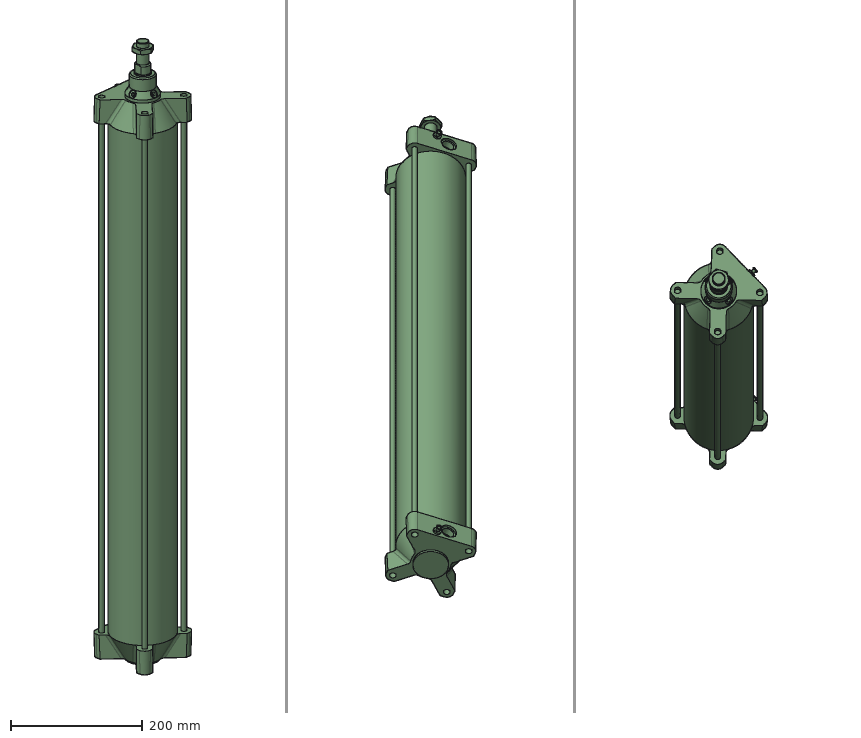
import cadquery as cq
import math


TOTAL_LENGTH = 1033.0
OVERALL_WIDTH_X = 122.0

PILOT_RADIUS = 55.0 / 2
REAR_PILOT_HEIGHT = 4.0
CAP_HEIGHT = 40.0
FRONT_CAP_FACE = 941.0
CAP_WIDTH = 113.0
CAP_DRAFT_DEGREES = 1.5
TIE_ROD_OFFSET = 44.0
CAP_CORNER_RADIUS = CAP_WIDTH / 2 - TIE_ROD_OFFSET

ARM_HALF_WIDTH = 12.0
POCKET_FLOOR_TOP_RADIUS = 31.0
POCKET_FILLET = 6.0
POCKET_ANGLES = (0, 90, 270)

BARREL_RADIUS = 106.0 / 2
TIE_ROD_RADIUS = 8.9 / 2
CORNER_HOLE_RADIUS = 10.0 / 2
CORNER_HOLE_DEPTH = 15.0

PORT_Y = -7.0
PORT_FROM_CAP_FACE = 19.0
PORT_RECESS_RADIUS = 25.0 / 2
PORT_RECESS_DEPTH = 4.0
PORT_RADIUS = 19.0 / 2
PORT_DEPTH = 15.0
SCREW_Y = 12.0
SCREW_FROM_CAP_FACE = 9.0
SCREW_BASE_RADIUS = 12.0 / 2
SCREW_BASE_REACH = 2.0
SCREW_ROOT_DEPTH = 4.0
SCREW_NECK_RADIUS = 6.0 / 2
SCREW_HEAD_RADIUS = 8.9 / 2
SCREW_HEAD_THICKNESS = 1.5

PILOT_TOP = 946.0
CONE_TOP = 958.0
COLLAR_RADIUS = 41.0 / 2
COLLAR_TOP = 979.0
COLLAR_CHAMFER = 2.0
SEAL_LIP_RADIUS = 27.0 / 2
SEAL_LIP_TOP = 981.0
SPANNER_HOLE_RADIUS = 12.0 / 2
SPANNER_HOLE_DEPTH = 2.0
SPANNER_BORE_RADIUS = 6.0 / 2
SPANNER_BORE_DEPTH = 6.0
SPANNER_HOLE_ANGLES = (0, 90, 180, 270)

ROD_RADIUS = 25.0 / 2
ROD_SHOULDER = 997.0
ROD_CHAMFER = 2.0
FLATS_WIDTH = 22.0
FLATS_BOTTOM = SEAL_LIP_TOP
THREAD_RADIUS = 20.0 / 2
THREAD_CHAMFER = 1.0
NUT_ACROSS_FLATS = 30.0
NUT_BOTTOM = 1016.0
NUT_HEIGHT = 8.0

FRONT_CAP_INNER = FRONT_CAP_FACE - CAP_HEIGHT
REAR_CAP_INNER = REAR_PILOT_HEIGHT + CAP_HEIGHT


def cylinder(radius, bottom, top):
    """Cylinder on the Z axis between two levels."""
    return cq.Workplane("XY").workplane(offset=bottom).circle(radius).extrude(top - bottom)


def cylinder_from_side(radius, y, z, outer_x, inner_x):
    """Cylinder along +X from outer_x to inner_x."""
    plane = cq.Plane(origin=(outer_x, y, z), xDir=(0, 1, 0), normal=(1, 0, 0))
    return cq.Workplane(plane).circle(radius).extrude(inner_x - outer_x)


def corner_points():
    """Centers of the four tie rods."""
    return [(sx * TIE_ROD_OFFSET, sy * TIE_ROD_OFFSET) for sx in (-1, 1) for sy in (-1, 1)]


def pocket():
    """Wedge between two arms on the +X side, with a conical floor that widens towards z = 0."""
    apex = ARM_HALF_WIDTH * math.sqrt(2)
    far = CAP_WIDTH
    wedge = (
        cq.Workplane("XY")
        .polyline([(apex, 0), (far, far - apex), (far, apex - far)])
        .close()
        .extrude(CAP_HEIGHT)
    )
    cone = cq.Workplane("XY").add(
        cq.Solid.makeCone(BARREL_RADIUS, POCKET_FLOOR_TOP_RADIUS, CAP_HEIGHT)
    )
    wedge = wedge.cut(cone)
    return wedge.faces("%CONE").edges("not %CIRCLE").fillet(POCKET_FILLET)


def make_cap():
    """Drafted end cap with its inner face at z = 0 and its outer face at z = CAP_HEIGHT."""
    outline = cq.Sketch().rect(CAP_WIDTH, CAP_WIDTH).vertices().fillet(CAP_CORNER_RADIUS)
    cap = cq.Workplane("XY").placeSketch(outline).extrude(CAP_HEIGHT, taper=CAP_DRAFT_DEGREES)
    cutter = pocket()
    for angle in POCKET_ANGLES:
        cap = cap.cut(cutter.rotate((0, 0, 0), (0, 0, 1), angle))
    holes = (
        cq.Workplane("XY")
        .workplane(offset=CAP_HEIGHT - CORNER_HOLE_DEPTH)
        .pushPoints(corner_points())
        .circle(CORNER_HOLE_RADIUS)
        .extrude(CORNER_HOLE_DEPTH)
    )
    return cap.cut(holes)


def fit_side(body, port_z, screw_z):
    """Return the body with an air port and a cushion screw on the -X face of a cap."""
    face = -CAP_WIDTH / 2
    tip = CAP_WIDTH / 2 - OVERALL_WIDTH_X
    root = face + SCREW_ROOT_DEPTH
    recess = cylinder_from_side(PORT_RECESS_RADIUS, PORT_Y, port_z, face, face + PORT_RECESS_DEPTH)
    port = cylinder_from_side(PORT_RADIUS, PORT_Y, port_z, face, face + PORT_DEPTH)
    base = cylinder_from_side(SCREW_BASE_RADIUS, SCREW_Y, screw_z, face - SCREW_BASE_REACH, root)
    neck = cylinder_from_side(SCREW_NECK_RADIUS, SCREW_Y, screw_z, tip, root)
    head = cylinder_from_side(SCREW_HEAD_RADIUS, SCREW_Y, screw_z, tip, tip + SCREW_HEAD_THICKNESS)
    return body.union(base).union(neck).union(head).cut(recess).cut(port)


def rod_bearing():
    """Turned bearing on the front cap, with four stepped spanner holes square to its cone."""
    bearing = (
        cq.Workplane("XZ")
        .moveTo(0, FRONT_CAP_FACE)
        .lineTo(PILOT_RADIUS, FRONT_CAP_FACE)
        .lineTo(PILOT_RADIUS, PILOT_TOP)
        .lineTo(COLLAR_RADIUS, CONE_TOP)
        .lineTo(COLLAR_RADIUS, COLLAR_TOP - COLLAR_CHAMFER)
        .lineTo(COLLAR_RADIUS - COLLAR_CHAMFER, COLLAR_TOP)
        .lineTo(SEAL_LIP_RADIUS, COLLAR_TOP)
        .lineTo(SEAL_LIP_RADIUS, SEAL_LIP_TOP)
        .lineTo(0, SEAL_LIP_TOP)
        .close()
        .revolve(360, (0, 0, 0), (0, 1, 0))
    )
    cone_middle = ((PILOT_RADIUS + COLLAR_RADIUS) / 2, 0, (PILOT_TOP + CONE_TOP) / 2)
    inward = (PILOT_TOP - CONE_TOP, 0, COLLAR_RADIUS - PILOT_RADIUS)
    plane = cq.Plane(origin=cone_middle, xDir=(0, 1, 0), normal=inward)
    hole = (
        cq.Workplane(plane)
        .workplane(offset=-SPANNER_HOLE_DEPTH)
        .circle(SPANNER_HOLE_RADIUS)
        .extrude(2 * SPANNER_HOLE_DEPTH)
    )
    hole = hole.union(cq.Workplane(plane).circle(SPANNER_BORE_RADIUS).extrude(SPANNER_BORE_DEPTH))
    for angle in SPANNER_HOLE_ANGLES:
        bearing = bearing.cut(hole.rotate((0, 0, 0), (0, 0, 1), angle))
    return bearing


def make_housing():
    """Barrel, tie rods, both caps and the rod bearing, bored for the piston rod."""
    cap = make_cap()
    barrel = cylinder(BARREL_RADIUS, REAR_CAP_INNER, FRONT_CAP_INNER)
    tie_rods = (
        cq.Workplane("XY")
        .workplane(offset=REAR_CAP_INNER)
        .pushPoints(corner_points())
        .circle(TIE_ROD_RADIUS)
        .extrude(FRONT_CAP_INNER - REAR_CAP_INNER)
    )
    front = cap.translate((0, 0, FRONT_CAP_INNER))
    rear = cap.mirror("XY").translate((0, 0, REAR_CAP_INNER))
    body = barrel.union(tie_rods).union(front).union(rear)
    body = body.union(cylinder(PILOT_RADIUS, 0, REAR_CAP_INNER)).union(rod_bearing())
    body = fit_side(body, FRONT_CAP_FACE - PORT_FROM_CAP_FACE, FRONT_CAP_FACE - SCREW_FROM_CAP_FACE)
    body = fit_side(body, REAR_PILOT_HEIGHT + PORT_FROM_CAP_FACE, REAR_PILOT_HEIGHT + SCREW_FROM_CAP_FACE)
    return body.cut(cylinder(ROD_RADIUS, FRONT_CAP_INNER, SEAL_LIP_TOP))


def make_piston_rod():
    """Rod with wrench flats and a threaded end, reaching down to the inner face of the front cap."""
    shank = cylinder(ROD_RADIUS, FRONT_CAP_INNER, ROD_SHOULDER).faces(">Z").chamfer(ROD_CHAMFER)
    flats = (
        cq.Workplane("XY")
        .workplane(offset=FLATS_BOTTOM)
        .rect(2 * ROD_RADIUS, FLATS_WIDTH)
        .extrude(ROD_SHOULDER - FLATS_BOTTOM)
    )
    lower = cylinder(ROD_RADIUS, FRONT_CAP_INNER, FLATS_BOTTOM)
    thread = cylinder(THREAD_RADIUS, ROD_SHOULDER, TOTAL_LENGTH).faces(">Z").chamfer(THREAD_CHAMFER)
    return shank.intersect(flats.union(lower)).union(thread)


def make_nut():
    """Hexagon nut on the thread, with two corners along X and chamfered corners."""
    across_corners = NUT_ACROSS_FLATS / math.cos(math.radians(30))
    plane = cq.Workplane("XY").workplane(offset=NUT_BOTTOM)
    nut = plane.polygon(6, across_corners).extrude(NUT_HEIGHT)
    corner_cut = (across_corners - NUT_ACROSS_FLATS) / 2
    blank = plane.circle(across_corners / 2).extrude(NUT_HEIGHT).faces("<Z or >Z").chamfer(
        corner_cut / 2, corner_cut
    )
    return nut.intersect(blank).cut(cylinder(THREAD_RADIUS, NUT_BOTTOM, TOTAL_LENGTH))


housing = make_housing()
piston_rod = make_piston_rod()
nut = make_nut()

result = cq.Compound.makeCompound([
    housing.solids().val(),
    piston_rod.solids().val(),
    nut.solids().val(),
])